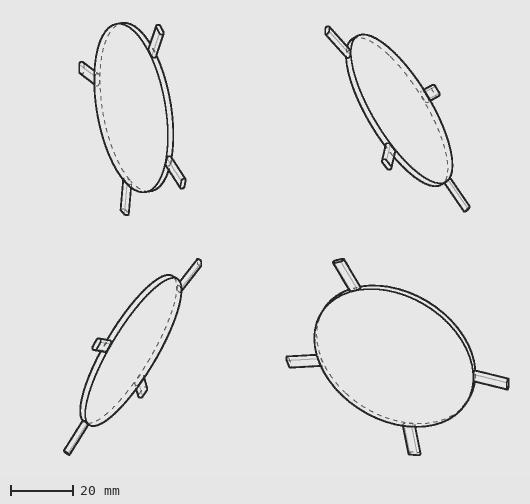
import cadquery as cq

disc_radius = 27.5
disc_thickness = 2.0

pin_reach = 39.0
pin_width = 4.2
pin_thickness = 1.6
pin_angles = [60, 180, 260, 340]


def make_disc():
    """Plain round disc, centred on the origin."""
    back_plane = cq.Workplane("XZ", origin=(0, disc_thickness / 2, 0))
    return back_plane.circle(disc_radius).extrude(disc_thickness)


def make_pin(angle, disc):
    """Radial pin with a slot-shaped section, its inner end seated on the disc rim."""
    bar = (
        cq.Workplane("YZ")
        .slot2D(pin_width, pin_thickness, 90)
        .extrude(pin_reach)
        .rotate((0, 0, 0), (0, 1, 0), -angle)
    )
    return bar.cut(disc)


disc = make_disc()
pins = [make_pin(angle, disc) for angle in pin_angles]

result = cq.Compound.makeCompound([disc.val(), *[pin.val() for pin in pins]])